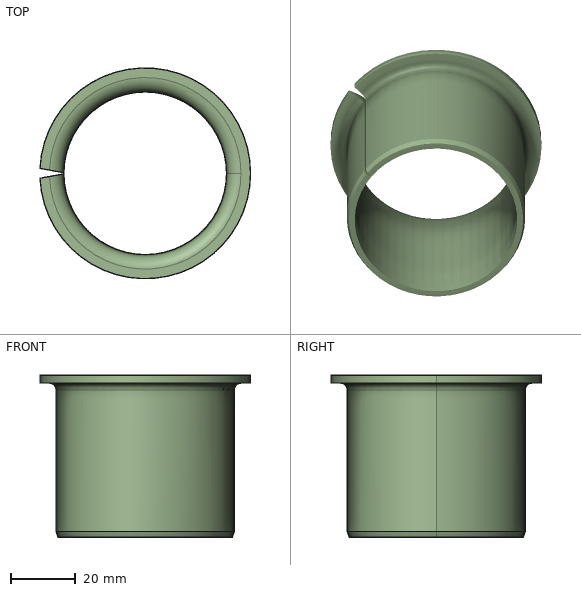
import cadquery as cq
import math

flange_diameter = 65.0
sleeve_diameter = 55.0
wall = 2.5
height = 50.0
outer_bend_radius = 2.0
chamfer_height = 1.8
chamfer_angle = 20.0
seam_apex_inset = 0.8
seam_half_angle = 10.2

flange_radius = flange_diameter / 2
sleeve_radius = sleeve_diameter / 2
bore_radius = sleeve_radius - wall
inner_bend_radius = outer_bend_radius + wall
flange_underside = height - wall
chamfer_width = chamfer_height * math.tan(math.radians(chamfer_angle))


def bent_sleeve():
    """Revolve the wall section, whose two bend arcs share one centre."""
    bend_r = sleeve_radius + outer_bend_radius
    bend_z = flange_underside - outer_bend_radius
    diagonal = math.sqrt(0.5)

    def bend_middle(radius):
        return (bend_r - radius * diagonal, bend_z + radius * diagonal)

    section = (
        cq.Workplane("XZ")
        .moveTo(bore_radius, 0)
        .lineTo(sleeve_radius - chamfer_width, 0)
        .lineTo(sleeve_radius, chamfer_height)
        .lineTo(sleeve_radius, bend_z)
        .threePointArc(bend_middle(outer_bend_radius), (bend_r, flange_underside))
        .lineTo(flange_radius, flange_underside)
        .lineTo(flange_radius, height)
        .lineTo(bend_r, height)
        .threePointArc(bend_middle(inner_bend_radius), (bore_radius, bend_z))
        .close()
    )
    return section.revolve(360, (0, 0), (0, 1))


def seam():
    """Full-height V slit through the -X wall, widening outward from just inside the bore."""
    apex_radius = bore_radius - seam_apex_inset
    mouth_radius = flange_diameter
    mouth_half_width = (mouth_radius - apex_radius) * math.tan(math.radians(seam_half_angle))
    outline = [
        (-apex_radius, 0),
        (-mouth_radius, mouth_half_width),
        (-mouth_radius, -mouth_half_width),
    ]
    return cq.Workplane("XY").polyline(outline).close().extrude(height)


result = bent_sleeve().cut(seam())